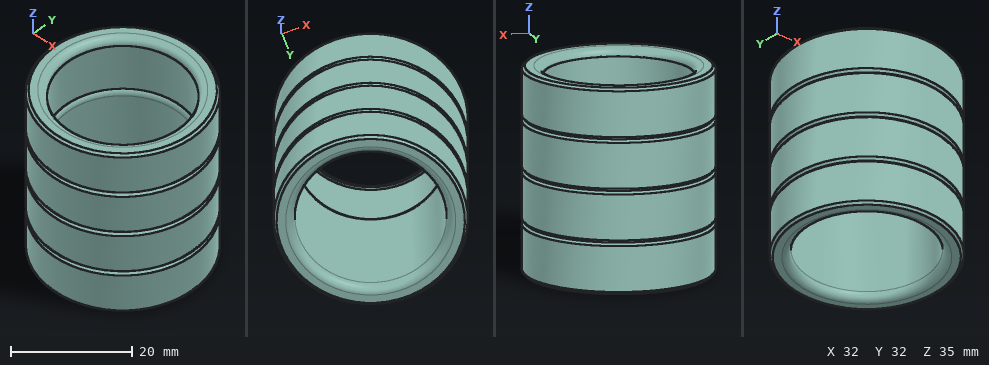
import cadquery as cq
import math

height = 35.0
band_count = 4
outer_diameter = 32.0
bore_diameter = 25.0
edge_chamfer = 0.5
bore_rounding = 1.5
recess_diameter = 26.0
recess_height = 9.6

outer_radius = outer_diameter / 2
bore_radius = bore_diameter / 2
recess_radius = recess_diameter / 2
top = height / 2
bottom = -top
band_height = height / band_count

recess_top = top - bore_rounding
recess_bottom = recess_top - recess_height


def make_band(index):
    """Cylindrical band with chamfered rims; neighbouring rims form a V groove."""
    band = cq.Workplane("XY", origin=(0, 0, bottom + index * band_height))
    return band.circle(outer_radius).extrude(band_height).edges().chamfer(edge_chamfer)


def arc_point(center_z, angle):
    """Point in the RZ plane on a bore rounding, at an angle above its innermost point."""
    radius = bore_radius + bore_rounding * (1 - math.cos(angle))
    return (radius, center_z + bore_rounding * math.sin(angle))


def make_bore():
    """Bore with rounded ends and a shallow recess below the lip."""
    meeting = math.acos(1 - (recess_radius - bore_radius) / bore_rounding)
    right_angle = math.pi / 2
    shoulder_center = recess_bottom - bore_rounding
    foot_center = bottom + bore_rounding
    profile = (
        cq.Workplane("XZ")
        .moveTo(0, top)
        .lineTo(*arc_point(recess_top, right_angle))
        .threePointArc(arc_point(recess_top, right_angle / 2), arc_point(recess_top, 0))
        .lineTo(recess_radius, recess_top)
        .lineTo(*arc_point(shoulder_center, meeting))
        .threePointArc(arc_point(shoulder_center, meeting / 2), arc_point(shoulder_center, 0))
        .lineTo(*arc_point(foot_center, 0))
        .threePointArc(arc_point(foot_center, -right_angle / 2), arc_point(foot_center, -right_angle))
        .lineTo(0, bottom)
        .close()
    )
    return profile.revolve(360, (0, 0, 0), (0, 1, 0))


sleeve = make_band(0)
for band_index in range(1, band_count):
    sleeve = sleeve.union(make_band(band_index))

result = sleeve.cut(make_bore())